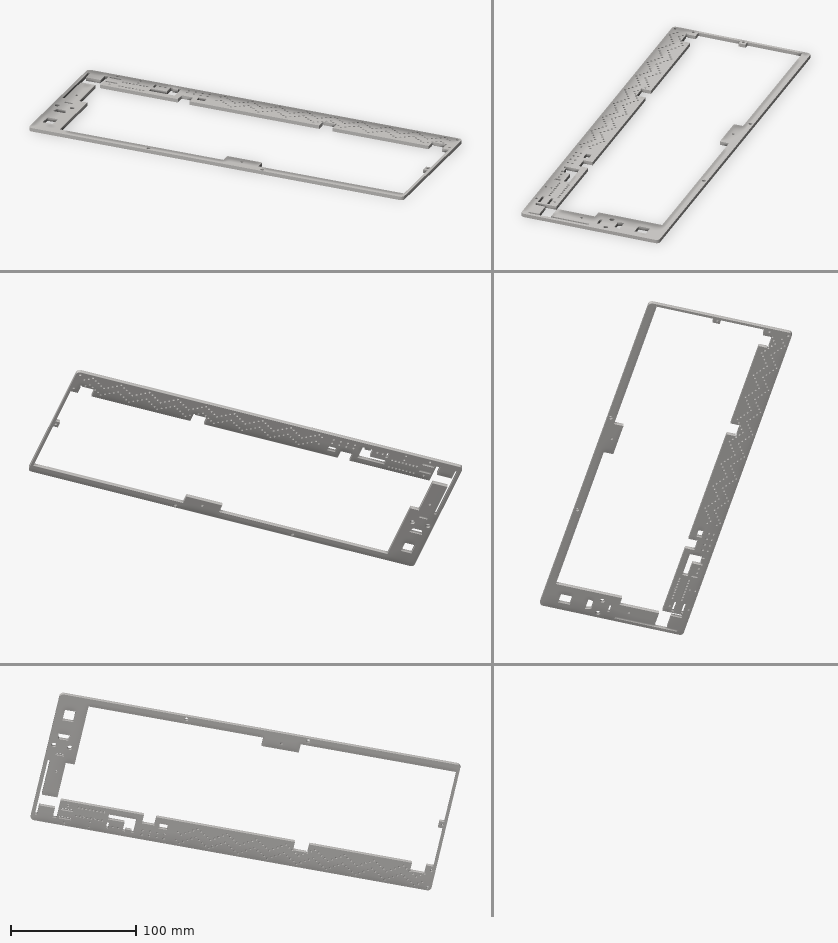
import cadquery as cq

length = 327.0
width = 119.0
thickness = 3.0
corner_radius = 3.0

bottom_rail = 7.0
right_rail_x = 324.7
top_band_y = 96.5
left_block_x = 24.5
left_block_y = 61.8

slot_left_x = 2.75
tongue_left_x = 4.5
tongue_right_x = 17.3
top_band_left_x = 20.5
gap_bottom_y = 94.5
gap_top_y = 104.5
slot_top_y = 113.5

notch_top_y = 104.3
band_notches = [(88.3, 98.5), (211.5, 223.5), (307.0, 318.8)]

bottom_tab_center_x = 182.5
bottom_tab_width = 30.5
bottom_tab_top_y = 14.7
right_tab_center_y = 57.2
right_tab_width = 6.0
right_tab_left_x = 320.8

zigzag_count = 68
zigzag_start_x = 118.0
zigzag_length = 200.8
zigzag_peak_y = 116.0
zigzag_step_y = 2.0
zigzag_steps = 4
zigzag_diameter = 1.8

zigzag_height = zigzag_steps * zigzag_step_y
middle_row_y = zigzag_peak_y - zigzag_height
lower_row_y = middle_row_y - zigzag_height
hole_pitch = zigzag_length / (zigzag_count - 1)

header_count = 8
header_start_x = 35.5
header_diameter = 1.9
header_single_x = 47.5
header_single_y = 111.5
header_single_diameter = 1.8

mount_x = 27.0
small_hole_diameter = 2.0
mount_slot_length = 9.8
mount_slot_width = 2.0
mount_slot_offset_y = 4.0

window_left_x = 60.8
window_right_x = 83.5
window_bottom_y = 101.7
window_step_x = 74.5
window_step_y = 106.3
window_top_y = 114.5
window_tooth_left_x = 76.5
window_tooth_right_x = 81.5
window_tooth_y = 112.5
side_slot_width = 2.0
side_slot_bottom_y = 109.2
window_hole_xs = (66.0, 70.5)

grid_start_x = 90.3
grid_columns = 4
grid_ys = (110.5, 114.5)
grid_diameter = 1.9
small_window_left_x = 102.5
small_window_right_x = 109.2

connector_x = 11.0
connector_slot_length = 7.0
connector_slot_width = 2.0
connector_slot_y = 55.3
connector_hole_offset_x = 6.5
connector_hole_y = 47.5
connector_hole_diameter = 4.0
trapezoid_top_y = 41.2
trapezoid_bottom_y = 36.3
trapezoid_top_width = 7.5
trapezoid_bottom_width = 10.5
square_width = 8.8
square_height = 9.8
square_center_y = 18.5

frame_hole_diameter = 3.05
bottom_frame_holes = [(103.5, 2.5), (203.0, 2.5)]
right_hole_x = 323.7
right_hole_diameter = 2.2
tongue_hole = (11.5, 71.0)
bottom_tab_hole = (bottom_tab_center_x, 9.0)
tab_hole_diameter = 2.2


def box(left, bottom, right, top):
    """Solid over the plate thickness between two opposite corners."""
    block = cq.Workplane("XY").box(right - left, top - bottom, thickness, centered=False)
    return block.translate((left, bottom, 0))


def centered_box(center_x, center_y, size_x, size_y):
    return box(
        center_x - size_x / 2,
        center_y - size_y / 2,
        center_x + size_x / 2,
        center_y + size_y / 2,
    )


def prism(points):
    return cq.Workplane("XY").polyline(points).close().extrude(thickness)


def round_holes(points, diameter):
    return cq.Workplane("XY").pushPoints(points).circle(diameter / 2).extrude(thickness)


def zigzag_points(peak_y):
    """Triangle wave of holes whose second hole is a peak."""
    period = 2 * zigzag_steps
    points = []
    for i in range(zigzag_count):
        phase = (i - 1) % period
        steps_down = min(phase, period - phase)
        points.append((zigzag_start_x + i * hole_pitch, peak_y - steps_down * zigzag_step_y))
    return points


plate = box(0, 0, length, width)
plate = plate.edges("|Z").fillet(corner_radius)

opening = prism([
    (left_block_x, bottom_rail),
    (right_rail_x, bottom_rail),
    (right_rail_x, top_band_y),
    (top_band_left_x, top_band_y),
    (top_band_left_x, slot_top_y),
    (tongue_right_x, slot_top_y),
    (tongue_right_x, gap_top_y),
    (tongue_left_x, gap_top_y),
    (tongue_left_x, slot_top_y),
    (slot_left_x, slot_top_y),
    (slot_left_x, left_block_y),
    (tongue_left_x, left_block_y),
    (tongue_left_x, gap_bottom_y),
    (tongue_right_x, gap_bottom_y),
    (tongue_right_x, left_block_y),
    (left_block_x, left_block_y),
])
bottom_tab = box(
    bottom_tab_center_x - bottom_tab_width / 2,
    bottom_rail,
    bottom_tab_center_x + bottom_tab_width / 2,
    bottom_tab_top_y,
)
right_tab = box(
    right_tab_left_x,
    right_tab_center_y - right_tab_width / 2,
    right_rail_x,
    right_tab_center_y + right_tab_width / 2,
)
plate = plate.cut(opening.cut(bottom_tab).cut(right_tab))

for notch_left, notch_right in band_notches:
    plate = plate.cut(box(notch_left, top_band_y, notch_right, notch_top_y))

for peak_y in (zigzag_peak_y, middle_row_y):
    plate = plate.cut(round_holes(zigzag_points(peak_y), zigzag_diameter))

header_xs = [header_start_x + i * hole_pitch for i in range(header_count)]
for row_y in (middle_row_y, lower_row_y):
    plate = plate.cut(round_holes([(x, row_y) for x in header_xs], header_diameter))
single_points = [(header_single_x, header_single_y), (header_single_x, zigzag_peak_y)]
plate = plate.cut(round_holes(single_points, header_single_diameter))

plate = plate.cut(round_holes([(mount_x, zigzag_peak_y), (mount_x, lower_row_y)], small_hole_diameter))
for offset in (-mount_slot_offset_y, mount_slot_offset_y):
    slot = centered_box(mount_x, middle_row_y + offset, mount_slot_length, mount_slot_width)
    plate = plate.cut(slot)

plate = plate.cut(prism([
    (window_left_x, window_bottom_y),
    (window_right_x, window_bottom_y),
    (window_right_x, window_top_y),
    (window_tooth_right_x, window_top_y),
    (window_tooth_right_x, window_tooth_y),
    (window_tooth_left_x, window_tooth_y),
    (window_tooth_left_x, window_top_y),
    (window_step_x, window_top_y),
    (window_step_x, window_step_y),
    (window_left_x, window_step_y),
]))
plate = plate.cut(box(window_left_x, side_slot_bottom_y, window_left_x + side_slot_width, window_top_y))
plate = plate.cut(round_holes([(x, window_tooth_y) for x in window_hole_xs], small_hole_diameter))

grid_xs = [grid_start_x + 2 * i * hole_pitch for i in range(grid_columns)]
plate = plate.cut(round_holes([(x, y) for x in grid_xs for y in grid_ys], grid_diameter))
plate = plate.cut(box(small_window_left_x, window_bottom_y, small_window_right_x, window_step_y))

plate = plate.cut(centered_box(connector_x, connector_slot_y, connector_slot_length, connector_slot_width))
connector_holes = [(connector_x + side * connector_hole_offset_x, connector_hole_y) for side in (-1, 1)]
plate = plate.cut(round_holes(connector_holes, connector_hole_diameter))
plate = plate.cut(prism([
    (connector_x - trapezoid_bottom_width / 2, trapezoid_bottom_y),
    (connector_x + trapezoid_bottom_width / 2, trapezoid_bottom_y),
    (connector_x + trapezoid_top_width / 2, trapezoid_top_y),
    (connector_x - trapezoid_top_width / 2, trapezoid_top_y),
]))
plate = plate.cut(centered_box(connector_x, square_center_y, square_width, square_height))

plate = plate.cut(round_holes(bottom_frame_holes, frame_hole_diameter))
right_hole_ys = (zigzag_peak_y, lower_row_y, right_tab_center_y)
plate = plate.cut(round_holes([(right_hole_x, y) for y in right_hole_ys], right_hole_diameter))
plate = plate.cut(round_holes([tongue_hole, bottom_tab_hole], tab_hole_diameter))

result = plate